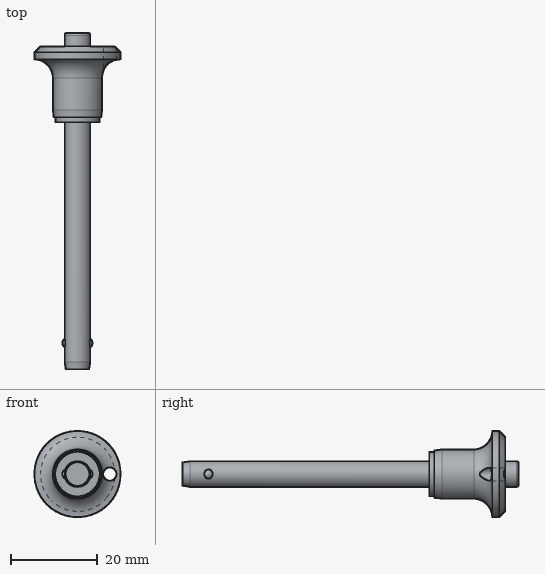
import cadquery as cq
import math

overall_length = 77.7
head_length = 20.7
tip_y = head_length - overall_length

pin_radius = 6.0 / 2
button_height = 3.1
button_fillet = 0.55

flange_radius = 20.0 / 2
flange_thickness = 3.0
flange_chamfer = 1.4
neck_radius = 11.4 / 2
flare_radius = flange_radius - neck_radius
flange_top_y = head_length - button_height
flange_bottom_y = flange_top_y - flange_thickness
flare_end_y = flange_bottom_y - flare_radius

collar_radius = 5.1
collar_height = 1.2
taper_end_radius = 5.5
taper_height = 1.7

tip_taper_length = 1.7
tip_radius = 2.7

hole_radius = 3.0 / 2
hole_offset = 7.45

ball_radius = 1.2
ball_reach = 3.5
ball_from_tip = 6.05

diagonal = math.sqrt(0.5)


def make_handle():
    """Turned handle: collar, tapered neck, flare and chamfered flange."""
    taper_start_y = collar_height + taper_height
    flare_mid = (
        flange_radius - flare_radius * diagonal,
        flare_end_y + flare_radius * diagonal,
    )
    return (
        cq.Workplane("XY")
        .lineTo(collar_radius, 0)
        .lineTo(collar_radius, collar_height)
        .lineTo(taper_end_radius, collar_height)
        .lineTo(neck_radius, taper_start_y)
        .lineTo(neck_radius, flare_end_y)
        .threePointArc(flare_mid, (flange_radius, flange_bottom_y))
        .lineTo(flange_radius, flange_top_y - flange_chamfer)
        .lineTo(flange_radius - flange_chamfer, flange_top_y)
        .lineTo(0, flange_top_y)
        .close()
        .revolve(360, (0, 0), (0, 1))
    )


def make_pin():
    """Shank and push button as one rod with a tapered tip and a rounded top."""
    button_mid = (
        pin_radius - button_fillet * (1 - diagonal),
        head_length - button_fillet * (1 - diagonal),
    )
    return (
        cq.Workplane("XY")
        .moveTo(0, tip_y)
        .lineTo(tip_radius, tip_y)
        .lineTo(pin_radius, tip_y + tip_taper_length)
        .lineTo(pin_radius, head_length - button_fillet)
        .threePointArc(button_mid, (pin_radius - button_fillet, head_length))
        .lineTo(0, head_length)
        .close()
        .revolve(360, (0, 0), (0, 1))
    )


def make_ball(side):
    """Locking ball on the +X (side = 1) or -X (side = -1) flank of the shank."""
    center = (side * (ball_reach - ball_radius), tip_y + ball_from_tip, 0)
    return cq.Workplane("XY").sphere(ball_radius).translate(center)


def make_lanyard_hole():
    """Cutter parallel to the pin axis, passing through the flange and flare."""
    return (
        cq.Workplane("XZ", origin=(hole_offset, head_length, 0))
        .circle(hole_radius)
        .extrude(head_length)
    )


result = make_handle().cut(make_lanyard_hole()).union(make_pin())
for side in (-1, 1):
    result = result.union(make_ball(side))